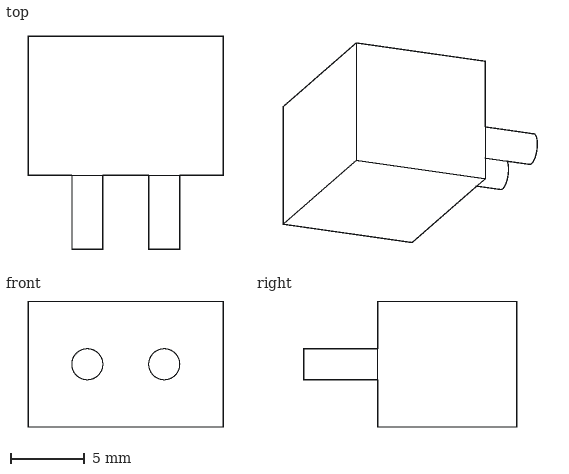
import cadquery as cq

width = 13.2
height = 8.5
total_depth = 14.4
pin_length = 5.0
housing_depth = total_depth - pin_length

insert_width = 11.52
insert_height = 6.6
insert_depth = 1.44

pin_diameter = 2.1
pin_pitch = 5.2


def make_housing():
    """Block whose front face lies on Y = 0, centred on X and Z."""
    return cq.Workplane("XY").box(width, housing_depth, height, centered=(True, False, True))


def make_insert():
    """Rectangular insert behind the front face."""
    return cq.Workplane("XZ").rect(insert_width, insert_height).extrude(-insert_depth)


def make_pins():
    """Two round pins side by side, pointing toward -Y."""
    return (
        cq.Workplane("XZ")
        .pushPoints([(-pin_pitch / 2, 0), (pin_pitch / 2, 0)])
        .circle(pin_diameter / 2)
        .extrude(pin_length)
    )


insert = make_insert()
housing = make_housing().cut(insert)
result = housing.union(insert, clean=False).union(make_pins(), clean=False)